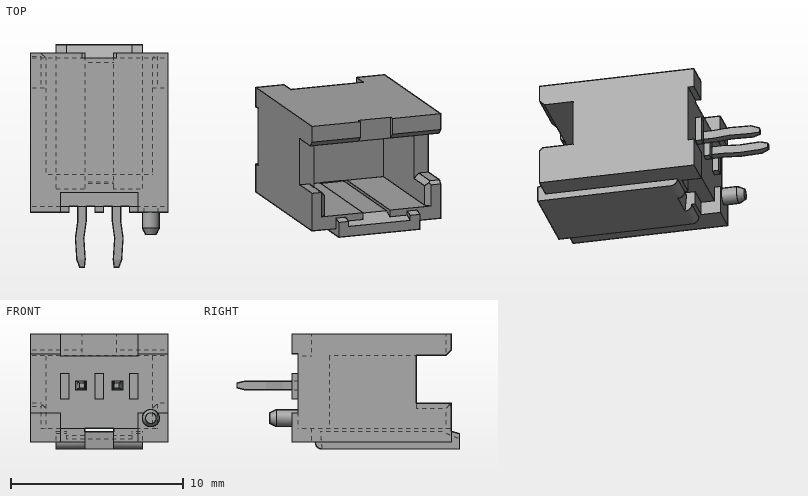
import cadquery as cq
import math


BODY_WIDTH = 8.0
BODY_LENGTH = 9.27
BODY_HEIGHT = 6.3

CAVITY_FLOOR = 0.8
CAVITY_ROOF = 5.05
REAR_WALL_END = 2.2
SIDE_RIM = 0.6
MOUTH_CHAMFER = 0.3
SIDE_WALL = SIDE_RIM + MOUTH_CHAMFER
CAVITY_WIDTH = BODY_WIDTH - 2 * SIDE_WALL
WINDOW_SILL = 2.27
WINDOW_LENGTH = 2.03
WINDOW_END = BODY_LENGTH - WINDOW_LENGTH
PIN_ONE_CHAMFER = 0.2
ROOF_NOTCH_WIDTH = 2.0
ROOF_NOTCH_DEPTH = 0.3

PANEL_SETBACK = 0.35
UPPER_FOOT_SETBACK = 0.01
UPPER_FOOT_BOTTOM = 5.13
LOWER_FOOT_TOP = 1.69
RECESS_WIDTH = 4.5
RECESS_DEPTH = 1.15
UPPER_RECESS_FLOOR = 5.0
LOWER_RECESS_ROOF = CAVITY_FLOOR
BAR_WIDTH = 0.5
BAR_BOTTOM = 2.5
BAR_HEIGHT = 1.5
BAR_SPACING = (RECESS_WIDTH - BAR_WIDTH) / 2

PLATE_WIDTH = 5.04
PLATE_THICKNESS = 0.4
PLATE_START = 1.36
LATCH_END = BODY_LENGTH + 0.48
EAR_WIDTH = 0.61
EAR_TIP_TOP = 0.5
EAR_SLOPE = math.radians(16)
TONGUE_WIDTH = 1.68
TONGUE_TOP = 0.62
TONGUE_TIP_TOP = 0.2
TONGUE_SLOPE = math.radians(22)
TONGUE_DRAFT = math.radians(5)

PIN_SIZE = 0.5
PIN_TIP_SIZE = 0.28
PIN_OFFSET = 1.0
PIN_HEIGHT = 3.3
PIN_BEND_START = -0.5
PIN_BEND_PEAK = -1.49
PIN_TAPER_START = -2.74
PIN_END = -3.19
PIN_PEAK_SHIFT = 0.14
PIN_TAPER_SHIFT = 0.06

PEG_DIAMETER = 1.0
PEG_TIP_DIAMETER = 0.62
PEG_X = 3.0
PEG_Z = 1.4
PEG_SHOULDER = -0.9
PEG_END = -1.29


def block(x_range, y_range, z_range):
    """Box spanning the given (low, high) ranges."""
    (x0, x1), (y0, y1), (z0, z1) = x_range, y_range, z_range
    return cq.Workplane("XY").box(x1 - x0, y1 - y0, z1 - z0, centered=False).translate((x0, y0, z0))


def centered_block(width, y_range, z_range):
    """Box of the given width, centred on x = 0."""
    return block((-width / 2, width / 2), y_range, z_range)


def side_profile(points, x_start, x_end):
    """Prism of a closed (y, z) outline running from x_start to x_end."""
    return cq.Workplane("YZ", origin=(x_start, 0, 0)).polyline(points).close().extrude(x_end - x_start)


def full_width_profile(points, width):
    """Prism of a closed (y, z) outline, centred on x = 0."""
    return side_profile(points, -width / 2, width / 2)


def make_shell():
    """Housing block with its cavity, side windows and mouth details."""
    shell = centered_block(BODY_WIDTH, (0, BODY_LENGTH), (0, BODY_HEIGHT))
    cavity = centered_block(CAVITY_WIDTH, (REAR_WALL_END, BODY_LENGTH), (CAVITY_FLOOR, CAVITY_ROOF))
    windows = centered_block(BODY_WIDTH, (WINDOW_END, BODY_LENGTH), (WINDOW_SILL, CAVITY_ROOF))
    roof_chamfer = full_width_profile(
        [
            (BODY_LENGTH - MOUTH_CHAMFER, CAVITY_ROOF),
            (BODY_LENGTH, CAVITY_ROOF),
            (BODY_LENGTH, CAVITY_ROOF + MOUTH_CHAMFER),
        ],
        BODY_WIDTH,
    )
    roof_notch = centered_block(
        ROOF_NOTCH_WIDTH,
        (BODY_LENGTH - ROOF_NOTCH_DEPTH, BODY_LENGTH),
        (CAVITY_ROOF, BODY_HEIGHT),
    )
    shell = shell.cut(cavity).cut(windows).cut(roof_chamfer).cut(roof_notch)
    for side in (-1, 1):
        shell = shell.cut(make_rim_chamfers(side))
    pin_one_mark = side_profile(
        [
            (BODY_LENGTH - PIN_ONE_CHAMFER, WINDOW_SILL),
            (BODY_LENGTH, WINDOW_SILL),
            (BODY_LENGTH, WINDOW_SILL - PIN_ONE_CHAMFER),
        ],
        -BODY_WIDTH / 2,
        -CAVITY_WIDTH / 2,
    )
    return shell.cut(pin_one_mark)


def make_rim_chamfers(side):
    """Cutters for the inner front edge and inner sill edge of one side wall."""
    inner = side * CAVITY_WIDTH / 2
    rim = side * (CAVITY_WIDTH / 2 + MOUTH_CHAMFER)
    front_edge = (
        cq.Workplane("XY", origin=(0, 0, CAVITY_FLOOR))
        .polyline([(inner, BODY_LENGTH), (rim, BODY_LENGTH), (inner, BODY_LENGTH - MOUTH_CHAMFER)])
        .close()
        .extrude(WINDOW_SILL - CAVITY_FLOOR)
    )
    sill_edge = (
        cq.Workplane("XZ", origin=(0, BODY_LENGTH, 0))
        .polyline([(inner, WINDOW_SILL), (rim, WINDOW_SILL), (inner, WINDOW_SILL - MOUTH_CHAMFER)])
        .close()
        .extrude(WINDOW_LENGTH)
    )
    return front_edge.union(sill_edge)


def cut_rear(shell):
    """Set the rear panel back between the corner feet and open the two recesses."""
    side_setback = centered_block(BODY_WIDTH, (0, PANEL_SETBACK), (LOWER_FOOT_TOP, UPPER_FOOT_BOTTOM))
    upper_setback = centered_block(BODY_WIDTH, (0, UPPER_FOOT_SETBACK), (UPPER_FOOT_BOTTOM, BODY_HEIGHT))
    middle_setback = centered_block(RECESS_WIDTH, (0, PANEL_SETBACK), (0, BODY_HEIGHT))
    upper_recess = centered_block(RECESS_WIDTH, (0, RECESS_DEPTH), (UPPER_RECESS_FLOOR, BODY_HEIGHT))
    lower_recess = centered_block(RECESS_WIDTH, (0, RECESS_DEPTH), (0, LOWER_RECESS_ROOF))
    for cutter in (side_setback, upper_setback, middle_setback, upper_recess, lower_recess):
        shell = shell.cut(cutter)
    return shell


def make_bar(x_center):
    """Standoff bar on the rear panel, level with the feet."""
    return block(
        (x_center - BAR_WIDTH / 2, x_center + BAR_WIDTH / 2),
        (0, PANEL_SETBACK),
        (BAR_BOTTOM, BAR_BOTTOM + BAR_HEIGHT),
    )


def make_latch():
    """Latch plate with a rounded rear end, sloped lip and ears, and the tongue."""
    radius = PLATE_THICKNESS
    arc_middle = (
        PLATE_START + radius * (1 - math.cos(math.pi / 4)),
        -radius * math.sin(math.pi / 4),
    )
    plate = (
        cq.Workplane("YZ", origin=(-PLATE_WIDTH / 2, 0, 0))
        .moveTo(PLATE_START, 0)
        .threePointArc(arc_middle, (PLATE_START + radius, -PLATE_THICKNESS))
        .lineTo(LATCH_END, -PLATE_THICKNESS)
        .lineTo(LATCH_END, 0)
        .close()
        .extrude(PLATE_WIDTH)
    )

    rounded_end_gap = centered_block(
        TONGUE_WIDTH,
        (PLATE_START, PLATE_START + radius),
        (-PLATE_THICKNESS, 0),
    )
    plate = plate.cut(rounded_end_gap)

    overhang = LATCH_END - BODY_LENGTH
    ear_outline = [
        (BODY_LENGTH, 0),
        (LATCH_END, 0),
        (LATCH_END, EAR_TIP_TOP),
        (BODY_LENGTH, EAR_TIP_TOP + overhang * math.tan(EAR_SLOPE)),
    ]
    lip_outline = [
        (BODY_LENGTH, 0),
        (LATCH_END, 0),
        (LATCH_END, TONGUE_TIP_TOP),
        (BODY_LENGTH, TONGUE_TIP_TOP + overhang * math.tan(TONGUE_SLOPE)),
    ]
    lip_width = PLATE_WIDTH - 2 * EAR_WIDTH
    latch = plate.union(full_width_profile(lip_outline, lip_width))
    for ear_start in (-PLATE_WIDTH / 2, lip_width / 2):
        latch = latch.union(side_profile(ear_outline, ear_start, ear_start + EAR_WIDTH))
    return latch.union(make_tongue())


def make_tongue():
    """Tongue along the floor slot: drafted rear end, flat top, slope down to the tip."""
    rear_bottom = PLATE_START + PLATE_THICKNESS
    rear_top = rear_bottom - (TONGUE_TOP + PLATE_THICKNESS) * math.tan(TONGUE_DRAFT)
    slope_length = (TONGUE_TOP - TONGUE_TIP_TOP) / math.tan(TONGUE_SLOPE)
    outline = [
        (rear_bottom, -PLATE_THICKNESS),
        (LATCH_END, -PLATE_THICKNESS),
        (LATCH_END, TONGUE_TIP_TOP),
        (LATCH_END - slope_length, TONGUE_TOP),
        (rear_top, TONGUE_TOP),
    ]
    return full_width_profile(outline, TONGUE_WIDTH)


def make_pin(side):
    """Square pin that bows outwards and ends in a tapered tip; side is -1 or 1."""
    half = PIN_SIZE / 2
    centerline = [
        (PIN_OFFSET, REAR_WALL_END),
        (PIN_OFFSET, PIN_BEND_START),
        (PIN_OFFSET + PIN_PEAK_SHIFT, PIN_BEND_PEAK),
        (PIN_OFFSET + PIN_TAPER_SHIFT, PIN_TAPER_START),
    ]
    outer_edge = [(side * (x + half), y) for x, y in centerline]
    inner_edge = [(side * (x - half), y) for x, y in reversed(centerline)]
    shank = (
        cq.Workplane("XY", origin=(0, 0, PIN_HEIGHT - half))
        .polyline(outer_edge + inner_edge)
        .close()
        .extrude(PIN_SIZE)
    )
    tip = (
        cq.Workplane("XZ", origin=(side * (PIN_OFFSET + PIN_TAPER_SHIFT), PIN_TAPER_START, PIN_HEIGHT))
        .rect(PIN_SIZE, PIN_SIZE)
        .workplane(offset=PIN_TAPER_START - PIN_END)
        .center(-side * PIN_TAPER_SHIFT, 0)
        .rect(PIN_TIP_SIZE, PIN_TIP_SIZE)
        .loft(ruled=True)
    )
    return shank.union(tip)


def make_peg():
    """Round locating peg with a conical tip, rising from the rear panel."""
    profile = [
        (0, PANEL_SETBACK),
        (PEG_DIAMETER / 2, PANEL_SETBACK),
        (PEG_DIAMETER / 2, PEG_SHOULDER),
        (PEG_TIP_DIAMETER / 2, PEG_END),
        (0, PEG_END),
    ]
    peg = cq.Workplane("XY").polyline(profile).close().revolve(360, (0, 0, 0), (0, 1, 0))
    return peg.translate((PEG_X, 0, PEG_Z))


def make_housing():
    """Housing with its floor slot; the latch tongue fills the lower part of the slot."""
    floor_slot = centered_block(TONGUE_WIDTH, (RECESS_DEPTH, BODY_LENGTH), (0, CAVITY_FLOOR))
    return cut_rear(make_shell()).cut(floor_slot)


result = make_housing().union(make_latch())
for bar_index in (-1, 0, 1):
    result = result.union(make_bar(bar_index * BAR_SPACING))
for pin_side in (-1, 1):
    result = result.union(make_pin(pin_side))
result = result.union(make_peg())